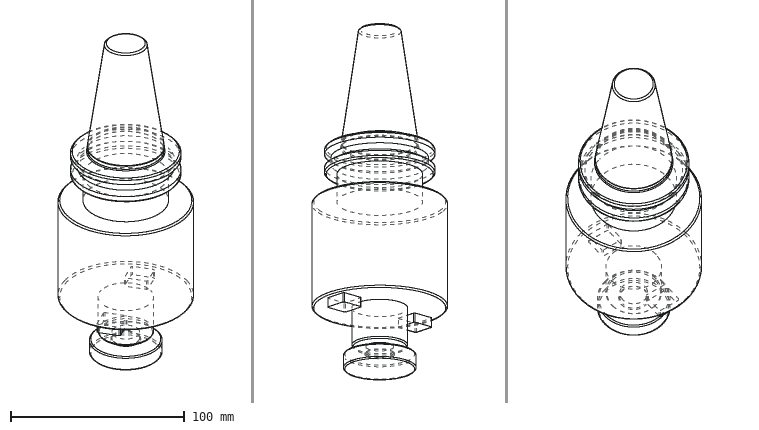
import cadquery as cq
import math

TOTAL_LENGTH = 205.5
TAPER_LENGTH = 68.5
GAUGE_COLLAR_HEIGHT = 3.3
FLANGE_HEIGHT = 15.8
NECK_HEIGHT = 16.8
BODY_HEIGHT = 64.0
PILOT_LENGTH = 23.5
SCREW_HEAD_HEIGHT = 9.0

GAUGE_Z = TOTAL_LENGTH - TAPER_LENGTH
FLANGE_TOP_Z = GAUGE_Z - GAUGE_COLLAR_HEIGHT
FLANGE_BOTTOM_Z = FLANGE_TOP_Z - FLANGE_HEIGHT
BODY_TOP_Z = FLANGE_BOTTOM_Z - NECK_HEIGHT
BODY_BOTTOM_Z = BODY_TOP_Z - BODY_HEIGHT
PILOT_BOTTOM_Z = BODY_BOTTOM_Z - PILOT_LENGTH

GAUGE_RADIUS = 22.2
TAPER_RATIO = 7 / 24
SMALL_END_RADIUS = GAUGE_RADIUS - TAPER_RATIO * TAPER_LENGTH / 2
COLLAR_RADIUS = 22.0
FLANGE_RADIUS = 31.8
NECK_RADIUS = 24.6
BODY_RADIUS = 39.0
PILOT_RADIUS = 16.0
SCREW_SHANK_RADIUS = 8.0
SCREW_HEAD_RADIUS = 21.0

GROOVE_FLOOR_RADIUS = 28.1
GROOVE_FLOOR_WIDTH = 3.7
GROOVE_CENTRE_DROP = 11.0
GROOVE_WALL_ANGLE = 30.0

KEY_SIZE = 14.0
KEY_HEIGHT = 5.5
KEY_OUTER_REACH = 34.7
KEY_EMBED = 2.0
KEY_CHAMFER = 0.6

EDGE_CHAMFER = 1.0
PILOT_CHAMFER_HEIGHT = 1.0
PILOT_CHAMFER_DEPTH = 0.6
SCREW_HEAD_CHAMFER = 0.8
ROOT_FLARE = 0.6


def cylinder(radius, bottom_z, top_z):
    """Plain cylinder on the spindle axis."""
    return cq.Workplane("XY").workplane(offset=bottom_z).circle(radius).extrude(top_z - bottom_z)


def disc(radius, bottom_z, top_z, chamfer):
    """Cylinder with both rims chamfered."""
    return cylinder(radius, bottom_z, top_z).faces("<Z or >Z").chamfer(chamfer)


def turned(profile):
    """Solid turned about the spindle axis from (radius, z) points."""
    return cq.Workplane("XZ").polyline(profile).close().revolve(360, (0, 0, 0), (0, 1, 0))


def make_taper():
    """Steep-taper shank with a chamfered small end."""
    cone = turned([
        (0, GAUGE_Z),
        (GAUGE_RADIUS, GAUGE_Z),
        (SMALL_END_RADIUS, TOTAL_LENGTH),
        (0, TOTAL_LENGTH),
    ])
    return cone.faces(">Z").chamfer(EDGE_CHAMFER)


def make_gauge_collar():
    """Slightly relieved collar that flares out to the taper above and the flange below."""
    return turned([
        (0, FLANGE_TOP_Z),
        (COLLAR_RADIUS + ROOT_FLARE, FLANGE_TOP_Z),
        (COLLAR_RADIUS, FLANGE_TOP_Z + ROOT_FLARE),
        (COLLAR_RADIUS, GAUGE_Z - ROOT_FLARE),
        (GAUGE_RADIUS, GAUGE_Z),
        (0, GAUGE_Z),
    ])


def make_flange():
    """Chamfered flange with a trapezoidal gripper groove."""
    centre_z = GAUGE_Z - GROOVE_CENTRE_DROP
    half_floor = GROOVE_FLOOR_WIDTH / 2
    groove_depth = FLANGE_RADIUS - GROOVE_FLOOR_RADIUS
    half_mouth = half_floor + groove_depth * math.tan(math.radians(GROOVE_WALL_ANGLE))
    groove = turned([
        (GROOVE_FLOOR_RADIUS, centre_z - half_floor),
        (FLANGE_RADIUS, centre_z - half_mouth),
        (FLANGE_RADIUS, centre_z + half_mouth),
        (GROOVE_FLOOR_RADIUS, centre_z + half_floor),
    ])
    return disc(FLANGE_RADIUS, FLANGE_BOTTOM_Z, FLANGE_TOP_Z, EDGE_CHAMFER).cut(groove)


def make_pilot():
    """Pilot spigot with a steep lead-in chamfer at its lower end."""
    return turned([
        (0, PILOT_BOTTOM_Z),
        (PILOT_RADIUS - PILOT_CHAMFER_DEPTH, PILOT_BOTTOM_Z),
        (PILOT_RADIUS, PILOT_BOTTOM_Z + PILOT_CHAMFER_HEIGHT),
        (PILOT_RADIUS, BODY_BOTTOM_Z),
        (0, BODY_BOTTOM_Z),
    ])


def make_screw_shank():
    """Clamping screw shank, flared where it meets the head."""
    return turned([
        (0, SCREW_HEAD_HEIGHT),
        (SCREW_SHANK_RADIUS + ROOT_FLARE, SCREW_HEAD_HEIGHT),
        (SCREW_SHANK_RADIUS, SCREW_HEAD_HEIGHT + ROOT_FLARE),
        (SCREW_SHANK_RADIUS, PILOT_BOTTOM_Z),
        (0, PILOT_BOTTOM_Z),
    ])


def make_key(side):
    """Drive key on the +Y (side = 1) or -Y (side = -1) half of the body face."""
    return (
        cq.Workplane("XY")
        .workplane(offset=BODY_BOTTOM_Z - KEY_HEIGHT)
        .center(0, side * (KEY_OUTER_REACH - KEY_SIZE / 2))
        .rect(KEY_SIZE, KEY_SIZE)
        .extrude(KEY_HEIGHT + KEY_EMBED)
        .edges("|Z")
        .chamfer(KEY_CHAMFER)
    )


sections = [
    make_gauge_collar(),
    make_flange(),
    cylinder(NECK_RADIUS, BODY_TOP_Z, FLANGE_BOTTOM_Z),
    disc(BODY_RADIUS, BODY_BOTTOM_Z, BODY_TOP_Z, EDGE_CHAMFER),
    make_pilot(),
    make_screw_shank(),
    disc(SCREW_HEAD_RADIUS, 0, SCREW_HEAD_HEIGHT, SCREW_HEAD_CHAMFER),
    make_key(1),
    make_key(-1),
]

result = make_taper()
for section in sections:
    result = result.union(section)